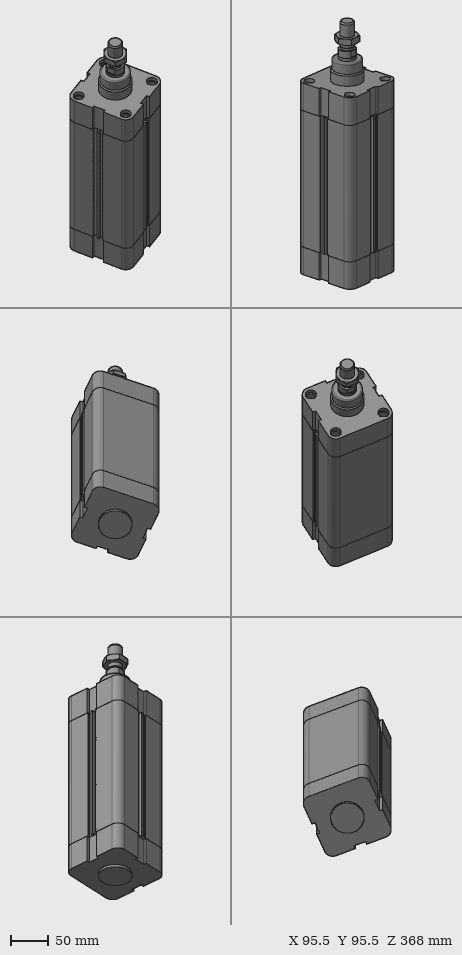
import cadquery as cq
import math

body_width = 95.5
corner_radius = 11.9
cap_height = 40.0
body_length = 278.0
barrel_length = body_length - 2 * cap_height

spigot_height = 4.0
rear_cap_base = spigot_height
barrel_base = rear_cap_base + cap_height
front_cap_base = barrel_base + barrel_length
front_face = front_cap_base + cap_height

grooved_side_angles = (-90, 0, 180)
groove_width = 16.5
groove_depth = 4.3
barrel_groove_mouth_width = 14.0
barrel_groove_lip = 1.8
groove_rib_width = 3.3

spigot_diameter = 45.0
neck_diameter = 41.0
collar_height = 16.5
neck_height = 15.5
collar_bevel_width = (spigot_diameter - neck_diameter) / 2
collar_bevel_height = 1.7
neck_fillet = 1.9

mounting_pitch = 72.0
mounting_counterbore_diameter = 14.5
mounting_counterbore_depth = 5.5
mounting_hole_diameter = 10.2
mounting_hole_depth = 22.0
drill_point_angle = 118.0

rod_diameter = 25.0
rod_neck_diameter = 24.5
rod_extension = 46.0
rod_shoulder = front_face + rod_extension
rod_neck_length = 10.0
rod_neck_base = rod_shoulder - rod_neck_length
wrench_flat_width = 22.0
wrench_flat_length = 9.0
thread_diameter = 20.0
thread_length = 40.0
thread_end_diameter = 17.0
thread_taper_height = 2.5
relief_diameter = 18.5
relief_height = 3.2
relief_taper = (thread_diameter - relief_diameter) / 2
rod_end = rod_shoulder + thread_length

hexagon_sides = 6
hexagon_half_angle = 180.0 / hexagon_sides
nut_width = 30.0
nut_height = 9.5
nut_standoff = 10.0
nut_base = rod_shoulder + nut_standoff
nut_chamfer_angle = 30.0


def square_prism(base, height):
    """Square block with rounded corners, standing on the given height."""
    block = cq.Workplane("XY").workplane(offset=base).rect(body_width, body_width).extrude(height)
    return block.edges("|Z").fillet(corner_radius)


def side_strips(width, depth, base, height):
    """One strip along each grooved side, reaching from the outer face inwards."""
    strips = cq.Workplane("XY")
    for angle in grooved_side_angles:
        strip = cq.Workplane("XY").box(depth, width, height, centered=(False, True, False))
        strip = strip.translate((body_width / 2 - depth, 0, base))
        strips = strips.add(strip.rotate((0, 0, 0), (0, 0, 1), angle))
    return strips.combine()


def cylinder(diameter, base, height):
    return cq.Workplane("XY").workplane(offset=base).circle(diameter / 2).extrude(height)


def revolved(points):
    """Solid of revolution about Z from (radius, height) points."""
    return cq.Workplane("XZ").polyline(points).close().revolve(360, (0, 0, 0), (0, 1, 0))


def mounting_hole_tool():
    """Counterbored blind hole with a drill point, mouth at the origin and pointing down."""
    hole_radius = mounting_hole_diameter / 2
    bore_radius = mounting_counterbore_diameter / 2
    point_depth = hole_radius / math.tan(math.radians(drill_point_angle / 2))
    return revolved([
        (0, 0),
        (bore_radius, 0),
        (bore_radius, -mounting_counterbore_depth),
        (hole_radius, -mounting_counterbore_depth),
        (hole_radius, -mounting_hole_depth),
        (0, -mounting_hole_depth - point_depth),
    ])


def grooved_cap(base):
    cap = square_prism(base, cap_height)
    return cap.cut(side_strips(groove_width, groove_depth, base, cap_height))


def make_rear_cap():
    return grooved_cap(rear_cap_base).union(cylinder(spigot_diameter, 0, spigot_height))


def make_front_cap():
    collar_radius = spigot_diameter / 2
    collar_top = front_face + collar_height
    collar = revolved([
        (0, front_face),
        (collar_radius, front_face),
        (collar_radius, collar_top - collar_bevel_height),
        (collar_radius - collar_bevel_width, collar_top),
        (0, collar_top),
    ])
    neck = cylinder(neck_diameter, collar_top, neck_height)
    neck = neck.faces(">Z").edges().fillet(neck_fillet)
    cap = grooved_cap(front_cap_base).union(collar).union(neck)
    hole = mounting_hole_tool()
    half_pitch = mounting_pitch / 2
    for x in (-half_pitch, half_pitch):
        for y in (-half_pitch, half_pitch):
            cap = cap.cut(hole.translate((x, y, front_face)))
    rod_bore = cylinder(rod_diameter, front_cap_base, rod_end - front_cap_base)
    return cap.cut(rod_bore)


def make_barrel():
    barrel = square_prism(barrel_base, barrel_length)
    grooves = side_strips(groove_width, groove_depth, barrel_base, barrel_length)
    lip_zone = side_strips(groove_width, barrel_groove_lip, barrel_base, barrel_length)
    mouths = side_strips(barrel_groove_mouth_width, groove_depth, barrel_base, barrel_length)
    ribs = side_strips(groove_rib_width, groove_depth, barrel_base, barrel_length)
    return barrel.cut(grooves.cut(lip_zone).union(mouths).cut(ribs))


def make_piston_rod():
    rod_radius = rod_diameter / 2
    rod_neck_radius = rod_neck_diameter / 2
    thread_radius = thread_diameter / 2
    relief_radius = relief_diameter / 2
    relief_top = rod_shoulder + relief_height
    rod = revolved([
        (0, front_cap_base),
        (rod_radius, front_cap_base),
        (rod_radius, rod_neck_base),
        (rod_neck_radius, rod_neck_base),
        (rod_neck_radius, rod_shoulder),
        (relief_radius, rod_shoulder),
        (relief_radius, relief_top),
        (thread_radius, relief_top + relief_taper),
        (thread_radius, rod_end - thread_taper_height),
        (thread_end_diameter / 2, rod_end),
        (0, rod_end),
    ])
    blank_width = rod_diameter * 2
    flats = (
        cq.Workplane("XY")
        .workplane(offset=rod_shoulder - wrench_flat_length)
        .rect(blank_width, blank_width)
        .rect(blank_width, wrench_flat_width)
        .extrude(wrench_flat_length)
    )
    return rod.cut(flats)


def make_lock_nut():
    across_corners = nut_width / math.cos(math.radians(hexagon_half_angle))
    rise = (across_corners - nut_width) / 2 * math.tan(math.radians(nut_chamfer_angle))
    blank = cq.Workplane("XY").workplane(offset=nut_base)
    nut = blank.polygon(hexagon_sides, across_corners).extrude(nut_height)
    nut_top = nut_base + nut_height
    envelope = revolved([
        (0, nut_base),
        (nut_width / 2, nut_base),
        (across_corners / 2, nut_base + rise),
        (across_corners / 2, nut_top - rise),
        (nut_width / 2, nut_top),
        (0, nut_top),
    ])
    return nut.intersect(envelope).cut(cylinder(thread_diameter, nut_base, nut_height))


rear_cap = make_rear_cap()
barrel = make_barrel()
front_cap = make_front_cap()
piston_rod = make_piston_rod()
lock_nut = make_lock_nut()

result = cq.Compound.makeCompound([
    rear_cap.val(),
    barrel.val(),
    front_cap.val(),
    piston_rod.val(),
    lock_nut.val(),
])